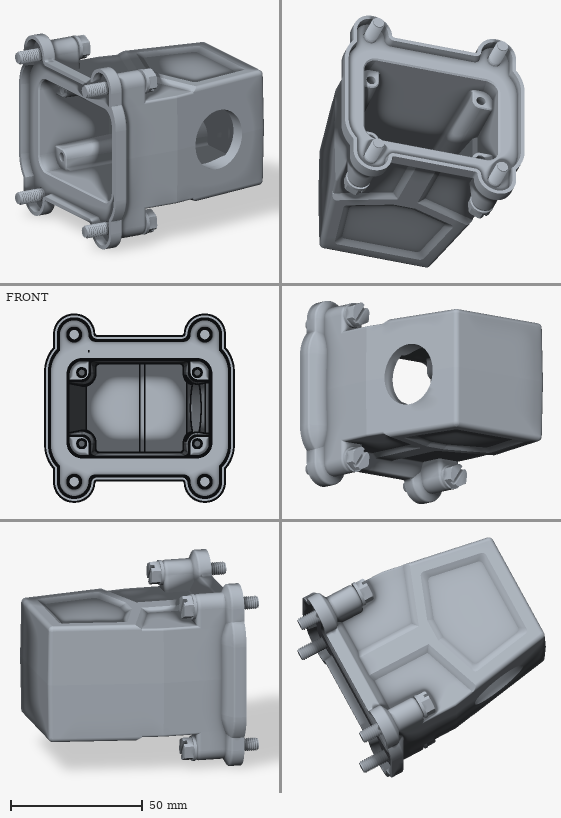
import cadquery as cq
import math


FLANGE_WIDTH = 72.0
FLANGE_HEIGHT = 55.05
FLANGE_CORNER_RADIUS = 13.7
FLANGE_EDGE = 4.8
FLANGE_EDGE_FILLET = 0.9
BEVEL_TAPER = 60
BEVEL_HEIGHT = 3.9
SCREW_X = 24.8
EAR_RADIUS = 7.7
EARS_HEIGHT = 71.4
SCREW_Z = EARS_HEIGHT / 2 - EAR_RADIUS
EAR_BEVEL_HEIGHT = 1.8
EAR_ROOT_FILLET = 1.0
RIM_WIDTH = 1.5
RECESS_DEPTH = 3.3
RECESS_TAPER = 9

DRAFT = 1
BODY_HALF_WIDTH = 30.0
BODY_BACK = 74.3
SHOULDER_Y = 30.95
SIDE_LEAN = 10
BODY_HALF_HEIGHT = 22.9
BODY_FILLET = 1.8
RELIEF_DEPTH = 1.5
RELIEF_TAPER = 60
LOW_FILLET = 0.9
FOOT_FILLET = 0.7
DIAGONAL_ANGLE = 20
RIB_HALF_WIDTH = 3.9
RIB_FORK_Y = 33.0

POCKET_TOP_Y = 68.65
POCKET_TOP_HALF_WIDTH = 17.6
POCKET_TIP_Y = 36.9
POCKET_TIP_HALF_WIDTH = 4.4
POCKET_CORNER_RADIUS = 3.7

BOSS_RADIUS = 4.7
BOSS_END = 17.75
BOSS_FILLET = 1.6
WEB_FOOT_HALF_WIDTH = 5.7
WEB_FOOT_Z = 20.4
SCREW_HOLE_RADIUS = 2.7

MOUTH_WIDTH = 53.75
MOUTH_HEIGHT = 36.5
MOUTH_CORNER_RADIUS = 5.3
MOUTH_CHAMFER = 0.6
CAVITY_DRAFT = 1.2
PLAIN_WALL = 2.45
CABLE_WALL = 5.05
CABLE_PAD_Y = 30.1
CABLE_PAD_CHAMFER = 1.55
DEEP_FLOOR = 71.8
SHALLOW_FLOOR = 70.0
FLOOR_STEP_START = 0.1
FLOOR_STEP_END = 2.0
CABLE_DIAMETER = 23.4
CABLE_Y = 51.3

POST_FACE = 10.6
POST_HOLE_X = 22.0
POST_HOLE_Z = 13.5
POST_CORNER_RADIUS = 3.25
POST_DRAFT = 2
POST_EDGE = 0.4
POST_ROOT_FILLET = 1.2
POST_HOLE_RADIUS = 1.8
POST_HOLE_DRAFT = 2
POST_HOLE_DEPTH = 9.8

SCREW_TIP = -7.2
SHANK_RADIUS = 2.5
THREAD_DEPTH = 0.4
THREAD_PITCH = 0.8
THREAD_TURNS = 18
TIP_CHAMFER = 0.4
HEAD_HEIGHT = 3.7
HEAD_CORNER_DIAMETER = 9.2
HEAD_ROTATION = 24
HEAD_CHAMFER = 0.3
SLOT_WIDTH = 1.55
SLOT_DEPTH = 1.55
SLOT_FROM_CORNER = 30
WASHER_RADIUS = 4.8
WASHER_THICKNESS = 1.1

LEAN_SLOPE = math.tan(math.radians(SIDE_LEAN))
DIAGONAL_SLOPE = math.tan(math.radians(DIAGONAL_ANGLE))
SIGNS = (-1, 1)
SCREW_PLACES = [(sx * SCREW_X, sz * SCREW_Z) for sx in SIGNS for sz in SIGNS]


def facing_back(y):
    """Workplane at the given Y that extrudes towards +Y, with local x along X and local y along -Z."""
    return cq.Workplane(cq.Plane(origin=(0, y, 0), xDir=(1, 0, 0), normal=(0, 1, 0)))


def with_mirror(half, plane):
    return half.union(half.mirror(plane))


def side_x(y):
    """Half width of the body on the parting plane, on the leaning part of the side."""
    return BODY_HALF_WIDTH - (y - SHOULDER_Y) * LEAN_SLOPE


def rounded_block(y, width, height, radius, length, taper):
    outline = cq.Sketch().rect(width, height).vertices().fillet(radius)
    return facing_back(y).placeSketch(outline).extrude(length, taper=taper)


def ear_blocks(y, radius, length, taper):
    """A round-ended bar at each side that makes the lugs above and below the plate."""
    bar = cq.Sketch().slot(2 * SCREW_Z, 2 * radius, angle=90)
    places = [(-SCREW_X, 0), (SCREW_X, 0)]
    return facing_back(y).pushPoints(places).placeSketch(bar).extrude(length, taper=taper)


def eared_plate(inset, length, taper, root_fillet):
    """The flange outline, moved inwards by `inset` and extruded from Y = 0."""
    half_height = FLANGE_HEIGHT / 2 - inset
    plate = rounded_block(
        0, FLANGE_WIDTH - 2 * inset, 2 * half_height, FLANGE_CORNER_RADIUS - inset, length, taper
    )
    plate = plate.union(ear_blocks(0, EAR_RADIUS - inset, length, taper))
    root_x = SCREW_X - EAR_RADIUS + inset
    for sx in SIGNS:
        for sz in SIGNS:
            root = cq.selectors.NearestToPointSelector((sx * root_x, length / 2, sz * half_height))
            plate = plate.edges(root).fillet(root_fillet)
    return plate


def with_bevel(upright, bevel):
    """Joins an upright block and the bevel on top of it, and rounds the edge where they meet."""
    block = upright.union(bevel)
    level = cq.selectors.BoxSelector(
        (-FLANGE_WIDTH, FLANGE_EDGE - 0.1, -FLANGE_WIDTH), (FLANGE_WIDTH, FLANGE_EDGE + 0.1, FLANGE_WIDTH)
    )
    return block.edges(level).fillet(FLANGE_EDGE_FILLET)


def make_flange():
    plate_size = (FLANGE_WIDTH, FLANGE_HEIGHT, FLANGE_CORNER_RADIUS)
    plate = with_bevel(
        rounded_block(0, *plate_size, FLANGE_EDGE, 0),
        rounded_block(FLANGE_EDGE, *plate_size, BEVEL_HEIGHT, BEVEL_TAPER),
    )
    flange = eared_plate(0, FLANGE_EDGE - FLANGE_EDGE_FILLET, 0, EAR_ROOT_FILLET).union(plate)
    upright_ears = ear_blocks(0, EAR_RADIUS, FLANGE_EDGE, 0)
    ear_bevels = ear_blocks(FLANGE_EDGE, EAR_RADIUS, EAR_BEVEL_HEIGHT, BEVEL_TAPER)
    return flange.union(with_bevel(upright_ears, ear_bevels))


def make_half_body(half_height, top_fillet):
    """Upper half of the drafted body, from inside the flange to the back wall."""
    back_half_width = side_x(BODY_BACK)
    outline = [
        (-BODY_HALF_WIDTH, RECESS_DEPTH),
        (BODY_HALF_WIDTH, RECESS_DEPTH),
        (BODY_HALF_WIDTH, SHOULDER_Y),
        (back_half_width, BODY_BACK),
        (-back_half_width, BODY_BACK),
        (-BODY_HALF_WIDTH, SHOULDER_Y),
    ]
    half = cq.Workplane("XY").polyline(outline).close().extrude(half_height, taper=DRAFT)
    for sx in SIGNS:
        back_corner = cq.selectors.NearestToPointSelector((sx * back_half_width, BODY_BACK, half_height / 2))
        half = half.edges(back_corner).fillet(BODY_FILLET)
    return half.faces(">Z").edges("not(<Y)").fillet(top_fillet)


def make_side_panel(sx):
    """Volume cleared between the rib and one diagonal, out past the side and the mouth."""
    reach = 2 * BODY_HALF_WIDTH
    outline = [
        (sx * RIB_HALF_WIDTH, -reach),
        (sx * RIB_HALF_WIDTH, RIB_FORK_Y),
        (sx * reach, RIB_FORK_Y + (reach - RIB_HALF_WIDTH) * DIAGONAL_SLOPE),
        (sx * reach, -reach),
    ]
    sloped = (
        cq.Workplane("XY", origin=(0, 0, BODY_HALF_HEIGHT))
        .polyline(outline)
        .close()
        .extrude(-RELIEF_DEPTH, taper=RELIEF_TAPER)
    )
    below = sloped.faces("<Z").wires().toPending().workplane().extrude(BODY_HALF_HEIGHT - RELIEF_DEPTH)
    return sloped.union(below)


def make_pocket():
    """Sunk shield shape: sides parallel to the body, bottom parallel to the diagonals."""
    drop = POCKET_TOP_Y - POCKET_TIP_Y
    rise = DIAGONAL_SLOPE * (POCKET_TOP_HALF_WIDTH + drop * LEAN_SLOPE - POCKET_TIP_HALF_WIDTH)
    rise /= 1 + DIAGONAL_SLOPE * LEAN_SLOPE
    corner_y = POCKET_TIP_Y + rise
    corner_x = POCKET_TOP_HALF_WIDTH + (POCKET_TOP_Y - corner_y) * LEAN_SLOPE
    right = [
        (POCKET_TIP_HALF_WIDTH, POCKET_TIP_Y),
        (corner_x, corner_y),
        (POCKET_TOP_HALF_WIDTH, POCKET_TOP_Y),
    ]
    left = [(-x, y) for x, y in reversed(right)]
    pocket = (
        cq.Workplane("XY", origin=(0, 0, BODY_HALF_HEIGHT))
        .polyline(right + left)
        .close()
        .extrude(-RELIEF_DEPTH, taper=RELIEF_TAPER)
    )
    for x, y in right[1:] + left[:-1]:
        corner = cq.selectors.NearestToPointSelector((0.95 * x, y, BODY_HALF_HEIGHT - RELIEF_DEPTH / 2))
        pocket = pocket.edges("not(#Z)").edges(corner).fillet(POCKET_CORNER_RADIUS)
    return pocket


def make_body():
    raised = make_half_body(BODY_HALF_HEIGHT, BODY_FILLET).cut(make_pocket())
    for sx in SIGNS:
        raised = raised.cut(make_side_panel(sx))
    sunk = make_half_body(BODY_HALF_HEIGHT - RELIEF_DEPTH, LOW_FILLET)
    return with_mirror(raised.union(sunk), "XY")


def round_body_foot(housing):
    """Fillets where the rib and the side panels run into the bevel of the flange."""
    reach_x = SCREW_X - WEB_FOOT_HALF_WIDTH
    low_z = BODY_HALF_HEIGHT - RELIEF_DEPTH - 0.25
    for z_range in ((low_z, BODY_HALF_HEIGHT + 0.8), (-BODY_HALF_HEIGHT - 0.8, -low_z)):
        foot = cq.selectors.BoxSelector(
            (-reach_x, FLANGE_EDGE + FLANGE_EDGE_FILLET, z_range[0]),
            (reach_x, FLANGE_EDGE + BEVEL_HEIGHT, z_range[1]),
        )
        housing = housing.edges(foot).fillet(FOOT_FILLET)
    return housing


def make_boss(sx, sz):
    """Round screw boss with a web that runs down into the body, flush with its drafted side."""
    outer_foot_x = BODY_HALF_WIDTH - WEB_FOOT_Z * math.tan(math.radians(DRAFT))
    inner_foot_x = SCREW_X - WEB_FOOT_HALF_WIDTH
    crest = (sx * SCREW_X, -sz * (SCREW_Z + BOSS_RADIUS))
    outer_side = (sx * (SCREW_X + BOSS_RADIUS), -sz * SCREW_Z)
    boss = (
        facing_back(RECESS_DEPTH)
        .moveTo(sx * inner_foot_x, -sz * WEB_FOOT_Z)
        .lineTo(sx * (SCREW_X - BOSS_RADIUS), -sz * SCREW_Z)
        .threePointArc(crest, outer_side)
        .lineTo(sx * outer_foot_x, -sz * WEB_FOOT_Z)
        .close()
        .extrude(BOSS_END - RECESS_DEPTH)
    )
    return boss.faces(">Y").edges().fillet(BOSS_FILLET)


def make_post(sx, sz):
    """Drafted post in one corner of the cavity."""
    inner_x = POST_HOLE_X - POST_CORNER_RADIUS
    inner_z = POST_HOLE_Z - POST_CORNER_RADIUS
    block = cq.Sketch().rect(2 * (BODY_HALF_WIDTH - inner_x), 2 * (BODY_HALF_HEIGHT - inner_z))
    block = block.vertices().fillet(POST_CORNER_RADIUS)
    return (
        facing_back(POST_FACE)
        .center(sx * BODY_HALF_WIDTH, -sz * BODY_HALF_HEIGHT)
        .placeSketch(block)
        .extrude(DEEP_FLOOR - POST_FACE + RELIEF_DEPTH, taper=-POST_DRAFT)
        .faces("<Y")
        .edges()
        .chamfer(POST_EDGE)
    )


def make_post_hole(sx, sz):
    """Drafted blind hole for an insert screw."""
    hole = facing_back(POST_FACE).center(sx * POST_HOLE_X, -sz * POST_HOLE_Z)
    return hole.circle(POST_HOLE_RADIUS).extrude(POST_HOLE_DEPTH, taper=POST_HOLE_DRAFT)


def round_post_roots(cavity):
    """Fillets where the posts grow out of the top and the bottom of the cavity."""
    post_x = POST_HOLE_X - POST_CORNER_RADIUS
    middle_y = (POST_FACE + DEEP_FLOOR) / 2
    growth = (middle_y - POST_FACE) * math.tan(math.radians(POST_DRAFT))
    roof_z = MOUTH_HEIGHT / 2 - middle_y * math.tan(math.radians(CAVITY_DRAFT))
    for sz in SIGNS:
        roots = [
            (post_x - growth, sz * roof_z),
            (growth - post_x, sz * roof_z),
        ]
        for x, z in roots:
            root = cq.selectors.NearestToPointSelector((x, middle_y, z))
            cavity = cavity.edges(root).fillet(POST_ROOT_FILLET)
    return cavity


def make_cavity():
    """Hollow of the hood: its lengthwise outline, limited to a round-cornered, drafted tunnel."""
    plain_offset = PLAIN_WALL / math.cos(math.radians(SIDE_LEAN))
    cable_offset = CABLE_WALL / math.cos(math.radians(SIDE_LEAN))
    lean_start = SHOULDER_Y - plain_offset * math.tan(math.radians(SIDE_LEAN / 2))
    outline = [
        (-BODY_HALF_WIDTH + PLAIN_WALL, 0),
        (-BODY_HALF_WIDTH + PLAIN_WALL, lean_start),
        (-side_x(DEEP_FLOOR) + plain_offset, DEEP_FLOOR),
        (FLOOR_STEP_START, DEEP_FLOOR),
        (FLOOR_STEP_END, SHALLOW_FLOOR),
        (side_x(SHALLOW_FLOOR) - cable_offset, SHALLOW_FLOOR),
        (side_x(CABLE_PAD_Y) - cable_offset, CABLE_PAD_Y),
        (side_x(CABLE_PAD_Y) - cable_offset + CABLE_PAD_CHAMFER, CABLE_PAD_Y - CABLE_PAD_CHAMFER),
        (side_x(CABLE_PAD_Y) - cable_offset + CABLE_PAD_CHAMFER, 0),
    ]
    lengthwise = cq.Workplane("XY").polyline(outline).close().extrude(BODY_HALF_HEIGHT, both=True)
    tunnel = rounded_block(RECESS_DEPTH, MOUTH_WIDTH, MOUTH_HEIGHT, MOUTH_CORNER_RADIUS, BODY_BACK, 0)
    back_half_height = MOUTH_HEIGHT / 2 - (BODY_BACK - RECESS_DEPTH) * math.tan(math.radians(CAVITY_DRAFT))
    wedge_profile = [
        (RECESS_DEPTH, -MOUTH_HEIGHT / 2),
        (RECESS_DEPTH, MOUTH_HEIGHT / 2),
        (BODY_BACK, back_half_height),
        (BODY_BACK, -back_half_height),
    ]
    wedge = cq.Workplane("YZ").polyline(wedge_profile).close().extrude(BODY_HALF_WIDTH, both=True)
    cavity = tunnel.intersect(wedge).intersect(lengthwise)
    for sx in SIGNS:
        for sz in SIGNS:
            cavity = cavity.cut(make_post(sx, sz))
    cavity = round_post_roots(cavity)
    for sx in SIGNS:
        for sz in SIGNS:
            cavity = cavity.union(make_post_hole(sx, sz))
    mouth_chamfer = rounded_block(
        RECESS_DEPTH,
        MOUTH_WIDTH + 2 * MOUTH_CHAMFER,
        MOUTH_HEIGHT + 2 * MOUTH_CHAMFER,
        MOUTH_CORNER_RADIUS + MOUTH_CHAMFER,
        MOUTH_CHAMFER,
        45,
    )
    return cavity.union(mouth_chamfer)


def make_cable_hole():
    """Cable entry through the leaning +X side, square to that side."""
    lean = math.radians(SIDE_LEAN)
    axis = cq.Vector(math.cos(lean), math.sin(lean), 0)
    start = cq.Vector(side_x(CABLE_Y), CABLE_Y, 0) - axis * (2 * CABLE_WALL)
    return cq.Workplane(cq.Solid.makeCylinder(CABLE_DIAMETER / 2, 4 * CABLE_WALL, start, axis))


def make_housing():
    housing = make_flange().union(make_body())
    for sx in SIGNS:
        for sz in SIGNS:
            housing = housing.union(make_boss(sx, sz))
    housing = round_body_foot(housing)
    recess = eared_plate(RIM_WIDTH, RECESS_DEPTH, RECESS_TAPER, EAR_ROOT_FILLET + RIM_WIDTH)
    screw_holes = facing_back(0).pushPoints(SCREW_PLACES).circle(SCREW_HOLE_RADIUS).extrude(BOSS_END)
    return housing.cut(recess).cut(make_cavity()).cut(make_cable_hole()).cut(screw_holes)


def make_screw():
    """Slotted hex screw on the Y axis, its threads modelled as parallel rings."""
    head_base = BOSS_END + WASHER_THICKNESS
    root_radius = SHANK_RADIUS - THREAD_DEPTH
    thread_start = SCREW_TIP + TIP_CHAMFER
    profile = cq.Workplane("XY").moveTo(0, SCREW_TIP).lineTo(root_radius, SCREW_TIP)
    for turn in range(THREAD_TURNS):
        root_y = thread_start + turn * THREAD_PITCH
        profile = profile.lineTo(root_radius, root_y).lineTo(SHANK_RADIUS, root_y + THREAD_PITCH / 2)
    thread_end = thread_start + THREAD_TURNS * THREAD_PITCH
    profile = profile.lineTo(SHANK_RADIUS, thread_end).lineTo(SHANK_RADIUS, head_base)
    shank = profile.lineTo(0, head_base).close().revolve(360, (0, 0, 0), (0, 1, 0))

    head = facing_back(head_base).transformed(rotate=(0, 0, HEAD_ROTATION))
    head = head.polygon(6, HEAD_CORNER_DIAMETER).extrude(HEAD_HEIGHT)
    chamfer_radius = HEAD_CORNER_DIAMETER / 2 - HEAD_CHAMFER
    crown = facing_back(head_base).circle(chamfer_radius + HEAD_HEIGHT)
    crown = crown.extrude(HEAD_HEIGHT, taper=45)
    slot = facing_back(head_base + HEAD_HEIGHT).transformed(rotate=(0, 0, HEAD_ROTATION + SLOT_FROM_CORNER))
    slot = slot.rect(2 * HEAD_CORNER_DIAMETER, SLOT_WIDTH).extrude(-SLOT_DEPTH)
    return shank.union(head.intersect(crown).cut(slot))


def make_washer():
    return facing_back(BOSS_END).circle(WASHER_RADIUS).circle(SCREW_HOLE_RADIUS).extrude(WASHER_THICKNESS)


housing = make_housing()
screws = []
washers = []
for x, z in SCREW_PLACES:
    screws.append(make_screw().translate((x, 0, z)).val())
    washers.append(make_washer().translate((x, 0, z)).val())

result = cq.Compound.makeCompound([housing.val(), *screws, *washers])